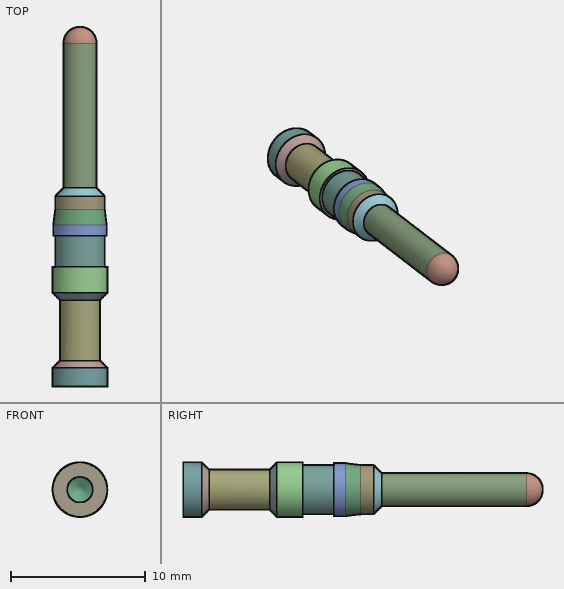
import cadquery as cq
import math

length = 26.8

flange_diameter = 4.1
neck_diameter = 3.0
body_diameter = 3.7
ring_diameter = 4.0
pin_diameter = 2.5
bore_diameter = 1.9

flange_width = 1.4
collar_start = 7.0
collar_end = 8.92
ring_start = 11.23
ring_end = 12.05
taper_end = 13.2
shoulder_end = 14.8

bore_depth = 6.43
drill_point_angle = 118.0

flange_radius = flange_diameter / 2
neck_radius = neck_diameter / 2
body_radius = body_diameter / 2
ring_radius = ring_diameter / 2
pin_radius = pin_diameter / 2
bore_radius = bore_diameter / 2
neck_cone = flange_radius - neck_radius
shoulder_cone = body_radius - pin_radius


def revolve_about_y(profile):
    return profile.close().revolve(360, (0, 0, 0), (0, 1, 0))


def make_outer_body():
    tip_start = length - pin_radius
    tip_middle = pin_radius * math.sqrt(0.5)
    profile = (
        cq.Workplane("XY")
        .lineTo(flange_radius, 0)
        .lineTo(flange_radius, flange_width)
        .lineTo(neck_radius, flange_width + neck_cone)
        .lineTo(neck_radius, collar_start - neck_cone)
        .lineTo(flange_radius, collar_start)
        .lineTo(flange_radius, collar_end)
        .lineTo(body_radius, collar_end)
        .lineTo(body_radius, ring_start)
        .lineTo(ring_radius, ring_start)
        .lineTo(ring_radius, ring_end)
        .lineTo(body_radius, taper_end)
        .lineTo(body_radius, shoulder_end - shoulder_cone)
        .lineTo(pin_radius, shoulder_end)
        .lineTo(pin_radius, tip_start)
        .threePointArc((tip_middle, tip_start + tip_middle), (0, length))
    )
    return revolve_about_y(profile)


def make_bore():
    point_length = bore_radius / math.tan(math.radians(drill_point_angle / 2))
    profile = (
        cq.Workplane("XY")
        .lineTo(bore_radius, 0)
        .lineTo(bore_radius, bore_depth)
        .lineTo(0, bore_depth + point_length)
    )
    return revolve_about_y(profile)


result = make_outer_body().cut(make_bore())